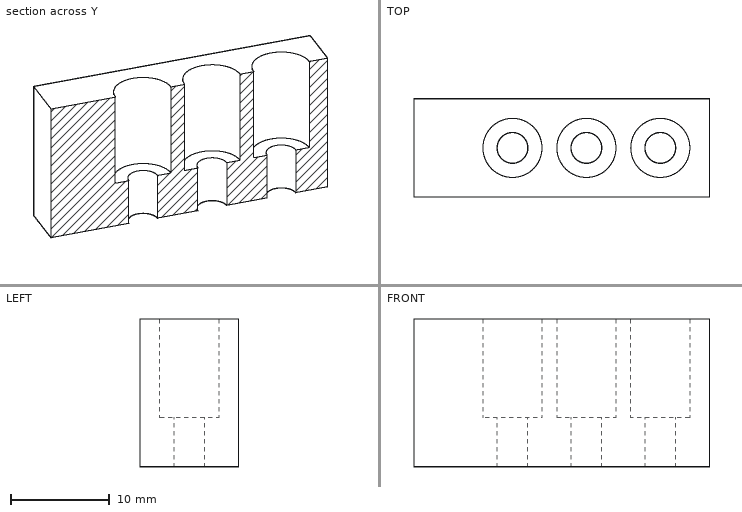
import cadquery as cq

LENGTH = 30.0
WIDTH = 10.0
HEIGHT = 15.0

HOLE_COUNT = 3
HOLE_DIAMETER = 3.1
COUNTERBORE_DIAMETER = 6.0
COUNTERBORE_DEPTH = 10.0
FIRST_HOLE_X = 10.0
HOLE_PITCH = 7.5


def make_block():
    return cq.Workplane("XY").box(LENGTH, WIDTH, HEIGHT, centered=False)


def hole_centers():
    return [(FIRST_HOLE_X + i * HOLE_PITCH, WIDTH / 2) for i in range(HOLE_COUNT)]


def cut_counterbored_holes(body):
    top_face = body.faces(">Z").workplane(origin=(0, 0, HEIGHT))
    return top_face.pushPoints(hole_centers()).cboreHole(
        HOLE_DIAMETER, COUNTERBORE_DIAMETER, COUNTERBORE_DEPTH
    )


result = cut_counterbored_holes(make_block())